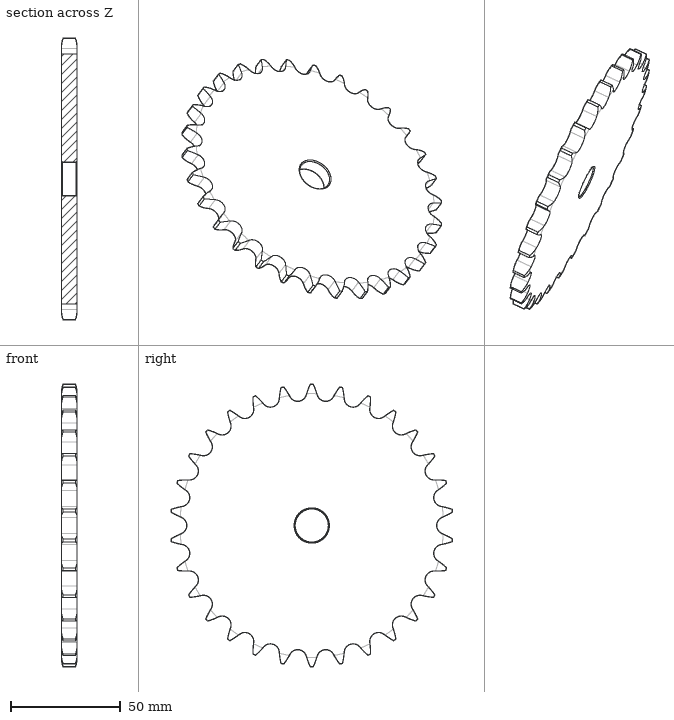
import cadquery as cq
import math

thickness = 7.2
tooth_count = 30
tip_radius = 64.3
root_radius = 56.8
seat_radius = 4.0
seat_half_angle = 68.0
flank_radius = 32.1
crown_depth = 4.4
crown_radius = 12.7
bore_diameter = 15.0
bore_chamfer = 0.5
cutter_overrun = 0.6

half_thickness = thickness / 2
tooth_pitch = 360 / tooth_count


def make_blank():
    """Disc with its rim narrowed by an arc tangent to each side face."""
    crown_start = tip_radius - crown_depth

    def relief(height):
        return crown_radius - math.sqrt(crown_radius**2 - height**2)

    tip_half_width = half_thickness - relief(crown_depth)
    mid_half_width = half_thickness - relief(crown_depth / 2)
    mid_radius = crown_start + crown_depth / 2
    return (
        cq.Workplane("XY")
        .moveTo(-half_thickness, 0)
        .lineTo(-half_thickness, crown_start)
        .threePointArc((-mid_half_width, mid_radius), (-tip_half_width, tip_radius))
        .lineTo(tip_half_width, tip_radius)
        .threePointArc((mid_half_width, mid_radius), (half_thickness, crown_start))
        .lineTo(half_thickness, 0)
        .close()
        .revolve(360, (0, 0), (1, 0))
    )


def make_gap_cutter():
    """Prism of one tooth gap, centred on the +Z direction."""
    seat_center_z = root_radius + seat_radius
    seat_angle = math.radians(seat_half_angle)
    seat_end = (
        seat_radius * math.sin(seat_angle),
        seat_center_z - seat_radius * math.cos(seat_angle),
    )

    center_distance = seat_radius + flank_radius
    flank_y = center_distance * math.sin(seat_angle)
    flank_z = seat_center_z - center_distance * math.cos(seat_angle)

    outer_radius = tip_radius + cutter_overrun
    flank_distance = math.hypot(flank_y, flank_z)
    squares = outer_radius**2 + flank_distance**2 - flank_radius**2
    end_cosine = squares / (2 * outer_radius * flank_distance)
    end_angle = math.atan2(flank_y, flank_z) - math.acos(end_cosine)
    flank_end = (outer_radius * math.sin(end_angle), outer_radius * math.cos(end_angle))

    start_turn = math.atan2(seat_end[1] - flank_z, seat_end[0] - flank_y)
    end_turn = math.atan2(flank_end[1] - flank_z, flank_end[0] - flank_y)
    mid_turn = (start_turn + end_turn) / 2
    flank_mid = (
        flank_y + flank_radius * math.cos(mid_turn),
        flank_z + flank_radius * math.sin(mid_turn),
    )

    def mirrored(point):
        return (-point[0], point[1])

    return (
        cq.Workplane("YZ")
        .moveTo(*flank_end)
        .threePointArc(flank_mid, seat_end)
        .threePointArc((0, root_radius), mirrored(seat_end))
        .threePointArc(mirrored(flank_mid), mirrored(flank_end))
        .threePointArc((0, outer_radius), flank_end)
        .close()
        .extrude(half_thickness, both=True)
    )


def cut_teeth(blank):
    """Cut the gaps so that one tooth points along +Z."""
    gap = make_gap_cutter().val()
    gaps = []
    for index in range(tooth_count):
        angle = (index + 0.5) * tooth_pitch
        gaps.append(gap.rotate(cq.Vector(0, 0, 0), cq.Vector(1, 0, 0), angle))
    return blank.cut(cq.Workplane(cq.Compound.makeCompound(gaps)))


def cut_bore(body):
    """Through bore, chamfered at both faces."""
    bore_radius = bore_diameter / 2
    mouth_radius = bore_radius + bore_chamfer
    bore = (
        cq.Workplane("XY")
        .moveTo(-half_thickness, 0)
        .lineTo(-half_thickness, mouth_radius)
        .lineTo(-half_thickness + bore_chamfer, bore_radius)
        .lineTo(half_thickness - bore_chamfer, bore_radius)
        .lineTo(half_thickness, mouth_radius)
        .lineTo(half_thickness, 0)
        .close()
        .revolve(360, (0, 0), (1, 0))
    )
    return body.cut(bore)


result = cut_bore(cut_teeth(make_blank()))